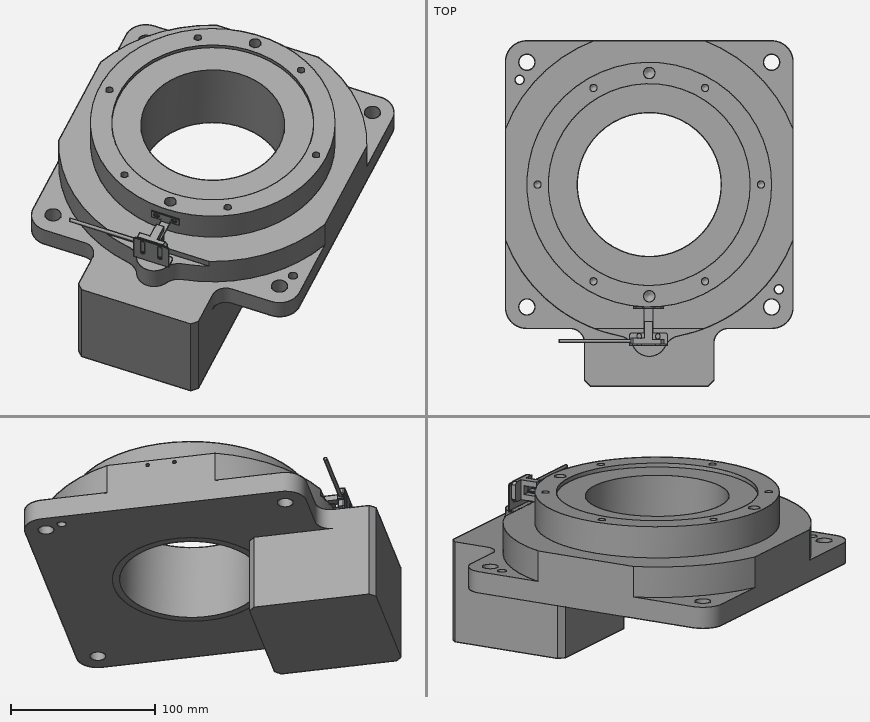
import cadquery as cq
import math

overall_length = 240
plate_size = 200.0
plate_thickness = 15.4
plate_corner_radius = 15.0
plate_half = plate_size / 2

mount_hole_spacing = 170.0
mount_hole_diameter = 11.0
dowel_hole_diameter = 6.2
dowel_hole_x = 90.0
dowel_hole_y = 72.7

motor_size = 90.0
motor_depth = 57.0
motor_chamfer = 4.0
motor_neck_radius = 10.0
motor_front_y = plate_half - overall_length

flange_radius = 107.0
flange_top = 37.5
step_drop = 5.0
step_level = flange_top - step_drop
lug_radius = 12.2
lug_blend_radius = 13.0

side_hole_diameter = 2.5
side_hole_spacing = 19.0
side_hole_drop = 3.4
side_hole_depth = 9.5

table_radius = 85.0
table_height = 22.5
table_top = flange_top + table_height
hub_radius = 55.0
bore_radius = 50.0
recess_radius = 70.0
recess_depth = 3.0
table_hole_circle = 77.5
screw_hole_diameter = 5.0
screw_hole_count = 6
pin_hole_diameter = 8.0
table_hole_depth = 9.5
drill_point_angle = 118

group_x = -0.5

bracket_width = 26.5
bracket_depth = 8.6
bracket_thickness = 1.0
bracket_top = 52.5
bracket_corner_radius = 2.0
bracket_front_y = -111.5
bracket_wall_back_y = bracket_front_y + bracket_thickness
slot_spacing = 13.0
slot_width = 3.0
wall_slot_length = 13.5
wall_slot_z = 44.6
foot_slot_length = 3.8
foot_slot_y = -105.4

sensor_width = 21.4
sensor_height = 14.5
sensor_center_z = 46.3
sensor_chamfer = 2.0
sensor_flange_depth = 4.0
sensor_step = 1.0
sensor_reach = 15.5
sensor_gap = 6.2
sensor_gap_depth = 10.0
fork_width = 5.8
grommet_length = 1.7
grommet_height = 4.3
cable_diameter = 2.5
cable_end_x = -62.2

dog_width = 20.6
dog_top = 54.0
dog_plate_height = 6.0
dog_plate_thickness = 1.0
dog_hole_spacing = 13.0
dog_hole_length = 4.3
dog_hole_width = 3.0
blade_width = 6.5
blade_thickness = 0.7
blade_bottom = 45.8
blade_tip_y = -102.2


def block(x_min, x_max, y_min, y_max, z_min, z_max):
    """Box given by its limits along each axis."""
    return cq.Workplane("XY").box(
        x_max - x_min, y_max - y_min, z_max - z_min, centered=False
    ).translate((x_min, y_min, z_min))


def make_plate():
    """Square plate joined to the motor box that hangs below its front edge."""
    plate = (
        cq.Workplane("XY")
        .rect(plate_size, plate_size)
        .extrude(plate_thickness)
        .edges("|Z")
        .fillet(plate_corner_radius)
    )
    motor_center_y = motor_front_y + motor_size / 2
    motor = (
        cq.Workplane("XY", origin=(0, motor_center_y, -motor_depth))
        .rect(motor_size, motor_size)
        .extrude(motor_depth + plate_thickness)
        .edges("|Z")
        .chamfer(motor_chamfer)
    )
    for side in (-1, 1):
        corner_x = side * motor_size / 2
        web = (
            cq.Workplane("XY")
            .moveTo(corner_x, -plate_half)
            .line(side * motor_neck_radius, 0)
            .radiusArc((corner_x, -plate_half - motor_neck_radius), side * -motor_neck_radius)
            .close()
            .extrude(plate_thickness)
        )
        plate = plate.union(web)
    return plate.union(motor)


def make_flange():
    """Round flange with a small lug at the front that carries the sensor bracket."""
    height = flange_top - plate_thickness
    disc = cq.Workplane("XY", origin=(0, 0, plate_thickness)).circle(flange_radius).extrude(height)
    lug = (
        cq.Workplane("XY", origin=(0, -flange_radius, plate_thickness))
        .circle(lug_radius)
        .extrude(height)
    )
    lug_corners = cq.selectors.BoxSelector(
        (-lug_radius, -flange_radius - lug_radius / 2, plate_thickness),
        (lug_radius, -flange_radius + lug_radius / 2, flange_top),
    )
    flange = disc.union(lug).edges("|Z").edges(lug_corners).fillet(lug_blend_radius)

    front_y = -flange_radius - lug_radius
    trim = block(-plate_half, plate_half, front_y, plate_half, plate_thickness, flange_top)
    step = block(-plate_half, plate_half, front_y, -plate_half, step_level, flange_top)
    return flange.intersect(trim).cut(step)


def make_base():
    base = make_plate().union(make_flange())
    hub_bore = cq.Workplane("XY").circle(hub_radius).extrude(flange_top)
    mount_holes = (
        cq.Workplane("XY")
        .rect(mount_hole_spacing, mount_hole_spacing, forConstruction=True)
        .vertices()
        .circle(mount_hole_diameter / 2)
        .extrude(plate_thickness)
    )
    dowel_holes = (
        cq.Workplane("XY")
        .pushPoints([(-dowel_hole_x, dowel_hole_y), (dowel_hole_x, -dowel_hole_y)])
        .circle(dowel_hole_diameter / 2)
        .extrude(plate_thickness)
    )
    side_holes = (
        cq.Workplane("YZ", origin=(-plate_half, 0, flange_top - side_hole_drop))
        .pushPoints([(-side_hole_spacing / 2, 0), (side_hole_spacing / 2, 0)])
        .circle(side_hole_diameter / 2)
        .extrude(side_hole_depth)
    )
    return base.cut(hub_bore).cut(mount_holes).cut(dowel_holes).cut(side_holes)


def drilled_hole(diameter, angle):
    """Blind hole with a drill point, on the table's hole circle."""
    radius = diameter / 2
    point_depth = radius / math.tan(math.radians(drill_point_angle / 2))
    hole = (
        cq.Workplane("XZ")
        .polyline([(0, 0), (radius, 0), (radius, -table_hole_depth), (0, -table_hole_depth - point_depth)])
        .close()
        .revolve(360, (0, 0, 0), (0, 1, 0))
    )
    return hole.translate((table_hole_circle, 0, table_top)).rotate((0, 0, 0), (0, 0, 1), angle)


def make_table():
    disc = cq.Workplane("XY", origin=(0, 0, flange_top)).circle(table_radius).extrude(table_height)
    hub = cq.Workplane("XY").circle(hub_radius).extrude(flange_top)
    bore = cq.Workplane("XY").circle(bore_radius).extrude(table_top)
    recess = (
        cq.Workplane("XY", origin=(0, 0, table_top - recess_depth))
        .circle(recess_radius)
        .extrude(recess_depth)
    )
    table = disc.union(hub).cut(bore).cut(recess)
    for index in range(screw_hole_count):
        table = table.cut(drilled_hole(screw_hole_diameter, index * 360 / screw_hole_count))
    for angle in (90, 270):
        table = table.cut(drilled_hole(pin_hole_diameter, angle))
    return table


def make_bracket():
    half = bracket_width / 2
    back_y = bracket_front_y + bracket_depth
    foot = block(-half, half, bracket_front_y, back_y, step_level, step_level + bracket_thickness)
    foot = foot.edges("|Z and >Y").fillet(bracket_corner_radius)
    wall = block(-half, half, bracket_front_y, bracket_wall_back_y, step_level, bracket_top)
    wall = wall.edges("|Y and >Z").fillet(bracket_corner_radius)
    slot_places = [(-slot_spacing / 2, 0), (slot_spacing / 2, 0)]
    wall_slots = (
        cq.Workplane("XZ", origin=(0, bracket_wall_back_y, wall_slot_z))
        .pushPoints(slot_places)
        .slot2D(wall_slot_length, slot_width, 90)
        .extrude(bracket_thickness)
    )
    foot_slots = (
        cq.Workplane("XY", origin=(0, foot_slot_y, step_level))
        .pushPoints(slot_places)
        .slot2D(foot_slot_length, slot_width, 90)
        .extrude(bracket_thickness)
    )
    return foot.union(wall).cut(wall_slots).cut(foot_slots).translate((group_x, 0, 0))


def make_sensor():
    half = sensor_width / 2
    z_min = sensor_center_z - sensor_height / 2
    z_max = sensor_center_z + sensor_height / 2
    flange_back_y = bracket_wall_back_y + sensor_flange_depth
    tip_y = bracket_wall_back_y + sensor_reach
    flange = block(-half, half, bracket_wall_back_y, flange_back_y, z_min, z_max)
    flange = flange.edges("|Y and >X").chamfer(sensor_chamfer)
    step = block(0, half, flange_back_y - sensor_step, flange_back_y, z_min, z_max)
    fork = block(-fork_width / 2, fork_width / 2, bracket_wall_back_y, tip_y, z_min, z_max)
    gap = block(
        -half, half, tip_y - sensor_gap_depth, tip_y,
        sensor_center_z - sensor_gap / 2, sensor_center_z + sensor_gap / 2,
    )
    grommet = block(
        -half - grommet_length, -half, bracket_wall_back_y, flange_back_y,
        sensor_center_z - grommet_height / 2, sensor_center_z + grommet_height / 2,
    )
    cable_y = bracket_wall_back_y + sensor_flange_depth / 2
    cable = (
        cq.Workplane("YZ", origin=(cable_end_x, cable_y, sensor_center_z))
        .circle(cable_diameter / 2)
        .extrude(-half - cable_end_x)
    )
    return flange.cut(step).union(fork).cut(gap).union(grommet).union(cable).translate((group_x, 0, 0))


def make_dog():
    half = dog_width / 2
    blade_half = blade_width / 2
    plate_bottom = dog_top - dog_plate_height
    front_y = -table_radius - dog_plate_thickness
    plate = block(-half, half, front_y, -table_radius, plate_bottom, dog_top)
    neck = block(-blade_half, blade_half, front_y, -table_radius, blade_bottom, plate_bottom)
    blade = block(
        -blade_half, blade_half, blade_tip_y, -table_radius, blade_bottom, blade_bottom + blade_thickness
    )
    holes = (
        cq.Workplane("XZ", origin=(0, -table_radius, (plate_bottom + dog_top) / 2))
        .pushPoints([(-dog_hole_spacing / 2, 0), (dog_hole_spacing / 2, 0)])
        .slot2D(dog_hole_length, dog_hole_width)
        .extrude(dog_plate_thickness)
    )
    return plate.union(neck).union(blade).cut(holes).translate((group_x, 0, 0))


base = make_base()
table = make_table()
bracket = make_bracket()
sensor = make_sensor()
dog = make_dog()

result = cq.Compound.makeCompound(
    [base.val(), table.val(), bracket.val(), sensor.val(), dog.val()]
)